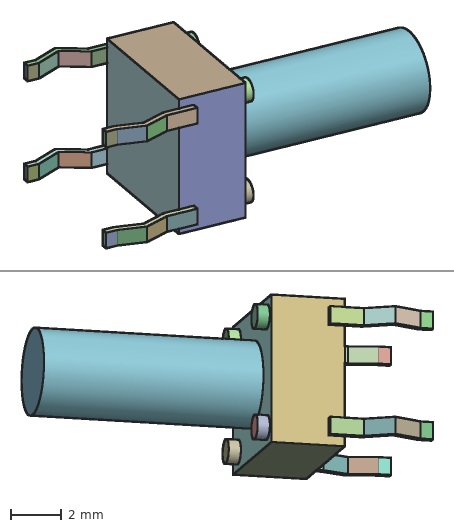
import cadquery as cq

total_length = 15.5
housing_width = 6.0
housing_depth = 3.0
lead_reach = 3.5
shaft_diameter = 3.5
shaft_length = total_length - housing_depth - lead_reach

corner_offset = 2.25
post_radius = 0.5
post_height = 0.5

lead_width = 0.7
lead_thickness = 0.3
lead_overlap = 0.67
first_bend_y = -0.7
peak_y = -1.81
last_bend_y = -2.99

lead_root_x = housing_width / 2
left_peak_x = 3.66
right_peak_x = 3.41
lead_tip_x = 3.12


def cylinder_along_y(x, z, radius, height):
    """Cylinder standing on the front face of the housing."""
    base = cq.Vector(x, housing_depth, z)
    return cq.Workplane(cq.Solid.makeCylinder(radius, height, base, cq.Vector(0, 1, 0)))


def bent_lead(side, peak_x, z):
    """Kinked strip lead; side is -1 for the left and 1 for the right."""
    inner_edge = [
        (lead_root_x, lead_overlap),
        (lead_root_x, first_bend_y),
        (peak_x, peak_y),
        (lead_tip_x, last_bend_y),
        (lead_tip_x, -lead_reach),
    ]
    outer_edge = [(x + lead_thickness, y) for x, y in reversed(inner_edge)]
    outline = [(side * x, y) for x, y in inner_edge + outer_edge]
    return (
        cq.Workplane("XY", origin=(0, 0, z - lead_width / 2))
        .polyline(outline)
        .close()
        .extrude(lead_width)
    )


housing = cq.Workplane("XY").box(
    housing_width, housing_depth, housing_width, centered=(True, False, True)
)
result = housing.union(cylinder_along_y(0, 0, shaft_diameter / 2, shaft_length))

for z in (-corner_offset, corner_offset):
    for side, peak_x in ((-1, left_peak_x), (1, right_peak_x)):
        result = result.union(cylinder_along_y(side * corner_offset, z, post_radius, post_height))
        result = result.union(bent_lead(side, peak_x, z))